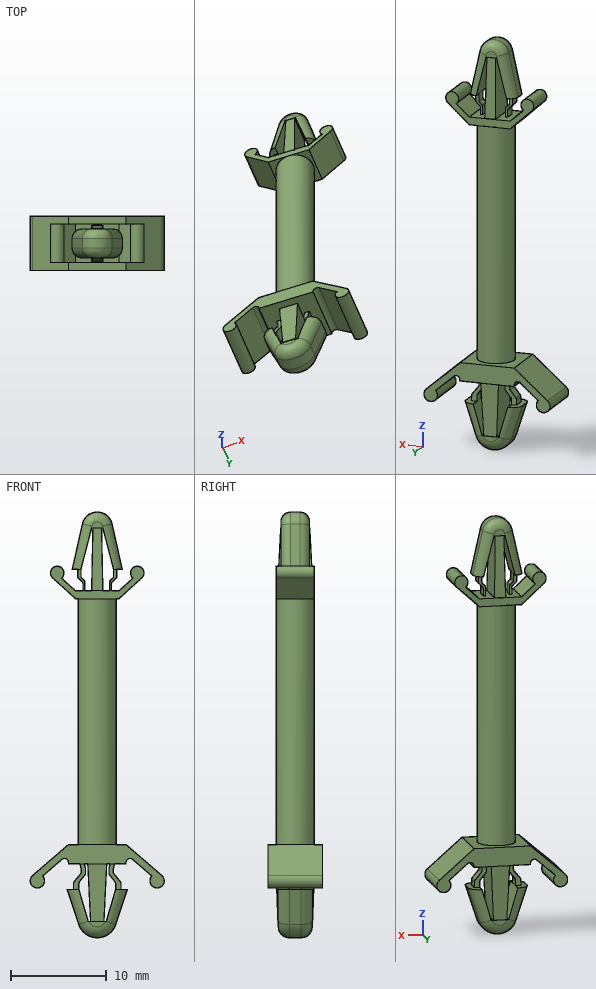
import cadquery as cq
import math

TOTAL_HEIGHT = 44.5
SHAFT_DIAMETER = 4.0
STRAP_WIDTH = 1.35

LOWER_HEAD_HEIGHT = 7.75
LOWER_FLANGE = dict(
    thickness=2.0,
    width=5.7,
    span=14.0,
    half_flat=3.03,
    arm_angle=40.8,
    arm_depth=1.0,
    bead_radius=0.75,
    root_fillet=0.4,
)
LOWER_HEAD = dict(
    height=LOWER_HEAD_HEIGHT,
    dome_radius=2.05,
    edge_fillet=1.15,
    half_width=1.8,
    barb_z=2.65,
    barb_outer_x=3.15,
    barb_inner_x=1.9,
    slot_top_z=6.0,
    slot_top_x=0.95,
    stem_base=(2.0, 4.1),
    stem_tip=(1.42, 3.65),
)
LOWER_STRAP = dict(
    inner=[(1.35, 0), (1.2, 0.55), (1.2, 1.05), (1.9, 1.95)],
    outer=[(2.5, 1.95), (1.7, 1.0), (1.7, 0.55), (1.82, 0)],
    bend_radius=0.35,
)

UPPER_HEAD_HEIGHT = 8.25
UPPER_FLANGE = dict(
    thickness=0.85,
    width=SHAFT_DIAMETER,
    span=9.8,
    half_flat=2.25,
    arm_angle=42.3,
    arm_depth=0.85,
    bead_radius=0.7,
)
UPPER_HEAD = dict(
    height=UPPER_HEAD_HEIGHT,
    dome_radius=1.6,
    edge_fillet=1.02,
    half_width=1.5,
    barb_z=2.22,
    barb_outer_x=2.63,
    barb_inner_x=1.7,
    slot_top_z=6.55,
    slot_top_x=0.6,
    stem_base=(1.2, 3.75),
    stem_tip=(0.95, 3.05),
)
UPPER_STRAP = dict(
    inner=[(1.3, 0), (1.3, 1.02), (1.7, 1.4)],
    outer=[(2.05, 1.4), (1.5, 0.85), (1.5, 0)],
    bend_radius=0.2,
)


def extrude_across(sketch, width):
    """Extrude an XZ outline along Y, half the width to each side of the XZ plane."""
    return sketch.extrude(width / 2, both=True)


def mirrored_pair(body):
    return body.union(body.mirror("YZ"))



def make_flange(thickness, width, span, half_flat, arm_angle, arm_depth, bead_radius, root_fillet=0.0):
    """Flat plate with two sloping spring arms, each ending in a round bead."""
    slope = math.radians(arm_angle)
    arm_thickness = arm_depth * math.cos(slope)
    normal_x = -math.sin(slope)
    normal_z = math.cos(slope)
    bead_x = span / 2 - bead_radius
    tangent_x = bead_x - bead_radius * normal_x
    tangent_z = (tangent_x - half_flat) * math.tan(slope) - thickness
    bead_z = tangent_z + bead_radius * normal_z

    half_outline = (
        cq.Workplane("XZ")
        .moveTo(0, -thickness)
        .lineTo(half_flat, -thickness)
        .lineTo(tangent_x, tangent_z)
        .lineTo(tangent_x + arm_thickness * normal_x, tangent_z + arm_thickness * normal_z)
        .lineTo(half_flat, arm_depth - thickness)
    )
    if arm_depth < thickness:
        half_outline = half_outline.lineTo(half_flat, 0)
    half = extrude_across(half_outline.lineTo(0, 0).close(), width)
    if root_fillet:
        root = cq.selectors.NearestToPointSelector((half_flat, 0, arm_depth - thickness))
        half = half.edges("|Y").edges(root).fillet(root_fillet)
    bead = extrude_across(cq.Workplane("XZ").center(bead_x, bead_z).circle(bead_radius), width)
    return mirrored_pair(half.union(bead))


def make_head(height, dome_radius, edge_fillet, half_width, barb_z, barb_outer_x, barb_inner_x,
              slot_top_z, slot_top_x, stem_base, stem_tip):
    """Domed arrowhead with two barbs, hollowed by a slot and carried by a tapered stem."""
    dome_z = height - dome_radius
    corner_distance = math.hypot(barb_outer_x, barb_z - dome_z)
    corner_angle = math.atan2(barb_z - dome_z, barb_outer_x)
    tangent_angle = corner_angle + math.acos(dome_radius / corner_distance)
    tangent_x = dome_radius * math.cos(tangent_angle)
    tangent_z = dome_z + dome_radius * math.sin(tangent_angle)

    head = extrude_across(
        cq.Workplane("XZ")
        .moveTo(-barb_outer_x, barb_z)
        .lineTo(-tangent_x, tangent_z)
        .threePointArc((0, height), (tangent_x, tangent_z))
        .lineTo(barb_outer_x, barb_z)
        .close(),
        2 * half_width,
    )
    head = head.faces("|Y").edges("not <Z").fillet(edge_fillet)

    slot = extrude_across(
        cq.Workplane("XZ")
        .moveTo(-barb_inner_x, barb_z)
        .lineTo(-slot_top_x, slot_top_z)
        .lineTo(slot_top_x, slot_top_z)
        .lineTo(barb_inner_x, barb_z)
        .close(),
        2 * half_width,
    )
    stem = (
        cq.Workplane("XY")
        .rect(*stem_base)
        .workplane(offset=slot_top_z)
        .rect(*stem_tip)
        .loft(ruled=True)
    )
    return head.cut(slot).union(stem)


def make_straps(inner, outer, bend_radius, barb_z):
    """Thin S-bent straps tying the barbs back to the flange."""
    outline = inner + [(inner[-1][0], barb_z), (outer[0][0], barb_z)] + outer
    strap = extrude_across(cq.Workplane("XZ").polyline(outline).close(), STRAP_WIDTH)
    bends = strap.edges("|Y").edges("not(<Z or >Z)")
    return mirrored_pair(bends.fillet(bend_radius))


def make_end(flange, head, strap):
    straps = make_straps(barb_z=head["barb_z"], **strap)
    return make_flange(**flange).union(make_head(**head)).union(straps)


upper_seat = TOTAL_HEIGHT - UPPER_HEAD_HEIGHT
shaft_bottom = LOWER_HEAD_HEIGHT + LOWER_FLANGE["thickness"]
shaft_top = upper_seat - UPPER_FLANGE["thickness"]

shaft = (
    cq.Workplane("XY")
    .workplane(offset=shaft_bottom)
    .circle(SHAFT_DIAMETER / 2)
    .extrude(shaft_top - shaft_bottom)
)
upper_end = make_end(UPPER_FLANGE, UPPER_HEAD, UPPER_STRAP).translate((0, 0, upper_seat))
lower_end = (
    make_end(LOWER_FLANGE, LOWER_HEAD, LOWER_STRAP)
    .mirror("XY")
    .translate((0, 0, LOWER_HEAD_HEIGHT))
)
result = shaft.union(upper_end).union(lower_end)